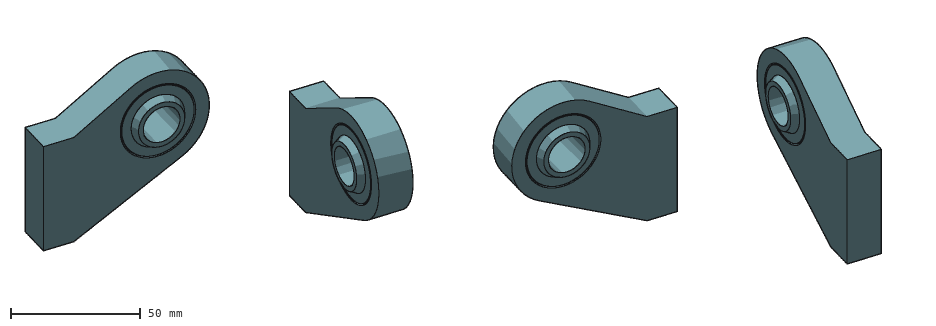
import cadquery as cq
import math

housing_width = 15.0
eye_radius = 22.5
foot_face_y = -50.0
foot_depth = 13.25
foot_top_z = 4.0
foot_bottom_z = -44.5
neck_fillet_radius = 1.0

bearing_width = 21.0
bearing_bore_diameter = 16.0
bearing_outer_diameter = 32.0
ball_end_diameter = 20.2
ball_root_diameter = 23.4

groove_outer_diameter = 33.0
groove_inner_diameter = 31.6
groove_depth = 0.3


def tangent_point(y, z, side):
    """Point where the line from (y, z) touches the eye; side +1 is the upper touch, -1 the lower."""
    direction = math.atan2(z, y)
    spread = math.acos(eye_radius / math.hypot(y, z))
    angle = direction - side * spread
    return eye_radius * math.cos(angle), eye_radius * math.sin(angle)


def make_housing():
    foot_shoulder_y = foot_face_y + foot_depth
    upper_corner = (foot_shoulder_y, foot_top_z)
    lower_corner = (foot_shoulder_y, foot_bottom_z)
    body = (
        cq.Workplane("YZ", origin=(-housing_width / 2, 0, 0))
        .moveTo(foot_face_y, foot_bottom_z)
        .lineTo(*lower_corner)
        .lineTo(*tangent_point(*lower_corner, -1))
        .threePointArc((eye_radius, 0), tangent_point(*upper_corner, 1))
        .lineTo(*upper_corner)
        .lineTo(foot_face_y, foot_top_z)
        .close()
        .extrude(housing_width)
    )
    neck_edge = cq.selectors.NearestToPointSelector((0, *upper_corner))
    return body.edges("|X").edges(neck_edge).fillet(neck_fillet_radius)


def make_seat_groove(side):
    """Ring cutter with a V section, open towards the housing face on the given side of X."""
    face_x = side * housing_width / 2
    return (
        cq.Workplane("XY")
        .moveTo(face_x, groove_inner_diameter / 2)
        .lineTo(face_x - side * groove_depth, bearing_outer_diameter / 2)
        .lineTo(face_x, groove_outer_diameter / 2)
        .close()
        .revolve(360, (0, 0, 0), (1, 0, 0))
    )


def make_ball_end(side):
    """Tapered end of the inner ring, standing out of the housing face on the given side of X."""
    face_x = side * housing_width / 2
    end_x = side * bearing_width / 2
    return (
        cq.Workplane("XY")
        .moveTo(face_x, 0)
        .lineTo(face_x, ball_root_diameter / 2)
        .lineTo(end_x, ball_end_diameter / 2)
        .lineTo(end_x, 0)
        .close()
        .revolve(360, (0, 0, 0), (1, 0, 0))
    )


def make_bore():
    return (
        cq.Workplane("YZ", origin=(-bearing_width / 2, 0, 0))
        .circle(bearing_bore_diameter / 2)
        .extrude(bearing_width)
    )


result = make_housing()
for side in (-1, 1):
    result = result.cut(make_seat_groove(side)).union(make_ball_end(side))
result = result.cut(make_bore())